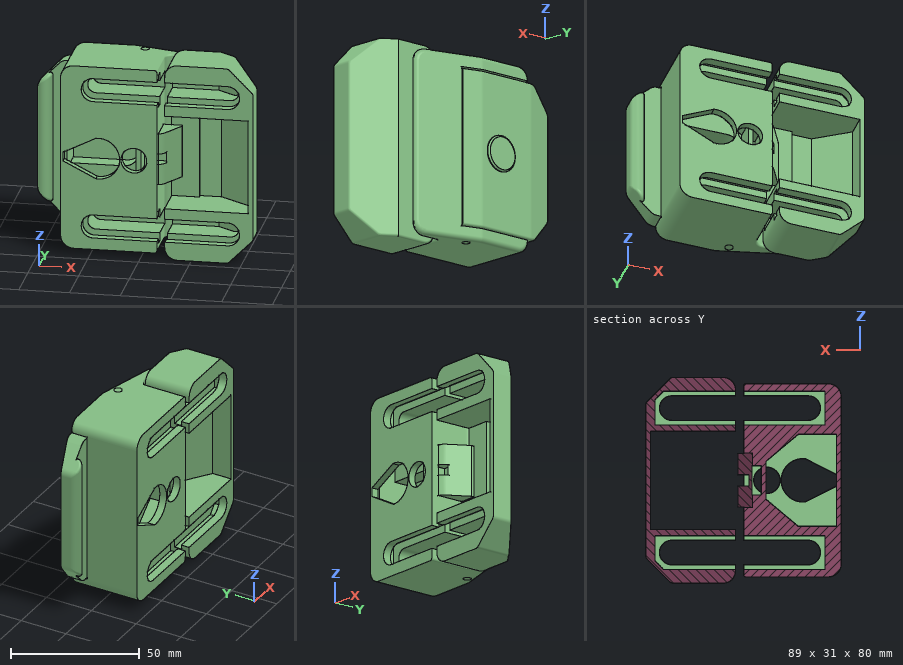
import cadquery as cq
import math


SIDE_WALL = 2.0
FRONT_WALL = 3.0
EDGE_FILLET = 1.0
SLOT_CENTRE_Z = 28.0
SLOT_FIRST_X = 25.9
SLOT_LAST_X = 78.85
SLOT_MOUTH_RADIUS = 4.7
SLOT_UNDERCUT_HALF_WIDTH = 6.5
SLOT_UNDERCUT_CHAMFER = 3.3
SLOT_INNER_RADIUS = 3.3
SLOT_LIP = 3.5
UNDERCUT_END = 6.5
POCKET_FLOOR = 17.8

HOUSING_LEFT = 13.0
HOUSING_RIGHT = 51.0
HOUSING_TOP = 30.0
HOUSING_HALF_WIDTH = 37.6
HOUSING_CORNER = 5.2
HOUSING_TOP_FILLET = 2.0
LIP_END = 66.1
LIP_ROOT_FILLET = 3.0
RAMP_START = 37.8
RAMP_ANGLE = 15.0
BEND_RADIUS = 4.0

KEEPER_LEFT = 54.0
KEEPER_RIGHT = 89.0
KEEPER_TOP = 20.0
KEEPER_HALF_WIDTH = 40.005
KEEPER_CORNER = 5.0
KEEPER_CHAMFER = 10.0
KEEPER_CHAMFER_FILLET = 2.0
KEEPER_SLOPE_START = 73.2
KEEPER_SLOPE_ANGLE = 35.0
KEEPER_SLOT_SLOPE_START = 72.4
KEEPER_POCKET_SLOPE_START = 73.4
KEEPER_POCKET_END = 87.0
KEEPER_POCKET_HALF_WIDTH = 19.05
STRIKE_LEDGE_END = 64.9
STRIKE_LEDGE_DEPTH = 16.0

HANDLE_BOTTOM = 22.3
HANDLE_HALF_WIDTH = 31.7
HANDLE_CHAMFER = 9.9
HANDLE_CORNER = 4.0
HANDLE_BEND_X = 12.0
HANDLE_END = 46.3
GROOVE_END = 46.7
GROOVE_HALF_WIDTH = 32.1
BEAD_RADIUS = 3.0

PIN_X = 42.0
PIN_Y = 24.9
PIN_RADIUS = 1.6

BUTTON_X = 28.1
BUTTON_HEIGHT = 1.0
BUTTON_RADIUS = 7.3
BUTTON_CHAMFER = 0.7

TEARDROP_X = 27.95
TEARDROP_RADIUS = 8.4
TEARDROP_SHOULDER_X = 27.0
TEARDROP_TIP_X = 14.1
TEARDROP_TIP_HALF_WIDTH = 1.8
PORT_X = 41.9
PORT_RADIUS = 5.1
CAVITY_FLOOR = 10.7
CAVITY_RIGHT = 42.2
CAVITY_RIGHT_HALF_WIDTH = 7.4
CAVITY_HALF_WIDTH = 17.8
CAVITY_FLARE_ANGLE = 40.0
CHANNEL_HALF_WIDTH = 6.1
BOLT_CHAMBER_HALF_WIDTH = 5.6

BOLT_LEFT = 47.6
BOLT_TIP = 58.4
BOLT_TOP = 15.0
BOLT_HALF_WIDTH = 10.4
BOLT_BOTTOM = 3.0
BOLT_NOSE_RADIUS = 4.45
BOLT_NOSE_X = 49.6
BOLT_FACE_ANGLE = 60.0
BOLT_NOTCH_START = 48.95
BOLT_NOTCH_END = 53.8
BOLT_NOTCH_HALF_WIDTH = 2.1
BOLT_NOTCH_DEPTH = 8.0


def bar(profile, half_width):
    """Sweep an XY profile along Z, symmetric about the middle."""
    return cq.Workplane("XY").polyline(profile).close().extrude(half_width, both=True)


def block(x0, x1, y0, y1, half_width):
    """Rectangular block, symmetric about the middle."""
    return bar([(x0, y0), (x1, y0), (x1, y1), (x0, y1)], half_width)


def upright(y):
    """Workplane at height y in which local x is X, local y is Z and -extrude goes toward +Y."""
    return cq.Workplane("XZ", origin=(0, y, 0))


def ramp_drop(start, x, angle):
    """Height lost at x on a slope that begins at start."""
    return (x - start) * math.tan(math.radians(angle))


def near(x, y, z=0):
    """Selector of the face or edge whose centre is nearest to a point."""
    return cq.selectors.NearestToPointSelector((x, y, z))


def slot_level(radius, y0, y1):
    """One depth step of a mounting slot, cut on both sides of the middle."""
    length = SLOT_LAST_X - SLOT_FIRST_X + 2 * radius
    middle = (SLOT_FIRST_X + SLOT_LAST_X) / 2
    places = [(middle, SLOT_CENTRE_Z), (middle, -SLOT_CENTRE_Z)]
    return upright(y0).pushPoints(places).slot2D(length, 2 * radius).extrude(y0 - y1)


def slot_undercut():
    """Wide middle step of the mounting slots: square ends, with the outer keeper corner cut off."""
    first_x = SLOT_FIRST_X - SLOT_UNDERCUT_HALF_WIDTH
    last_x = SLOT_LAST_X + SLOT_UNDERCUT_HALF_WIDTH
    inner_z = SLOT_CENTRE_Z - SLOT_UNDERCUT_HALF_WIDTH
    outer_z = SLOT_CENTRE_Z + SLOT_UNDERCUT_HALF_WIDTH
    slot = (
        upright(SLOT_LIP)
        .polyline(
            [
                (first_x, inner_z),
                (last_x, inner_z),
                (last_x, outer_z - SLOT_UNDERCUT_CHAMFER),
                (last_x - SLOT_UNDERCUT_CHAMFER, outer_z),
                (first_x, outer_z),
            ]
        )
        .close()
        .extrude(SLOT_LIP - UNDERCUT_END)
    )
    return slot.union(slot.mirror("XY"))


def mounting_slots():
    """Undercut slots that run through the housing and the keeper, with a sloped end in the keeper."""
    slope_end_y = POCKET_FLOOR - ramp_drop(KEEPER_SLOT_SLOPE_START, KEEPER_RIGHT, KEEPER_SLOPE_ANGLE)
    limit = bar(
        [
            (0, 0),
            (KEEPER_RIGHT, 0),
            (KEEPER_RIGHT, slope_end_y),
            (KEEPER_SLOT_SLOPE_START, POCKET_FLOOR),
            (0, POCKET_FLOOR),
        ],
        KEEPER_HALF_WIDTH,
    )
    inner = slot_level(SLOT_INNER_RADIUS, UNDERCUT_END, POCKET_FLOOR).intersect(limit)
    return slot_level(SLOT_MOUTH_RADIUS, 0, SLOT_LIP).union(slot_undercut()).union(inner)


def bolt_blank():
    """Bolt with a rounded nose that runs into a steep strike face."""
    face_angle = math.radians(BOLT_FACE_ANGLE)
    nose_y = BOLT_BOTTOM + BOLT_NOSE_RADIUS

    def on_nose(angle):
        return (
            BOLT_NOSE_X + BOLT_NOSE_RADIUS * math.sin(angle),
            nose_y - BOLT_NOSE_RADIUS * math.cos(angle),
        )

    face_start = on_nose(face_angle)
    face_end_y = face_start[1] + ramp_drop(face_start[0], BOLT_TIP, BOLT_FACE_ANGLE)
    return (
        cq.Workplane("XY")
        .moveTo(BOLT_LEFT, BOLT_BOTTOM)
        .lineTo(BOLT_NOSE_X, BOLT_BOTTOM)
        .threePointArc(on_nose(face_angle / 2), face_start)
        .lineTo(BOLT_TIP, face_end_y)
        .lineTo(BOLT_TIP, BOLT_TOP)
        .lineTo(BOLT_LEFT, BOLT_TOP)
        .close()
        .extrude(BOLT_HALF_WIDTH, both=True)
    )


def pin_rod():
    """Hinge pin, flush with both sides of the housing."""
    start = cq.Workplane("XY", origin=(PIN_X, PIN_Y, -HOUSING_HALF_WIDTH))
    return start.circle(PIN_RADIUS).extrude(2 * HOUSING_HALF_WIDTH)


def housing_shell():
    """Outside of the housing, with the lip that reaches over the keeper."""
    lip_top = HOUSING_TOP - ramp_drop(RAMP_START, LIP_END, RAMP_ANGLE)
    shell = bar(
        [
            (HOUSING_LEFT, 0),
            (HOUSING_RIGHT, 0),
            (HOUSING_RIGHT, KEEPER_TOP),
            (LIP_END, KEEPER_TOP),
            (LIP_END, lip_top),
            (RAMP_START, HOUSING_TOP),
            (HOUSING_LEFT, HOUSING_TOP),
        ],
        HOUSING_HALF_WIDTH,
    )
    shell = shell.edges("|Y and (<X or >X)").fillet(HOUSING_CORNER)
    shell = shell.edges("|Z").edges(near(HOUSING_RIGHT, KEEPER_TOP)).fillet(LIP_ROOT_FILLET)
    shell = shell.edges("|Z").edges(near(RAMP_START, HOUSING_TOP)).fillet(BEND_RADIUS)
    shell = shell.faces(">Y").edges("|X").fillet(HOUSING_TOP_FILLET)
    return shell.edges("|Z").edges(near(LIP_END, KEEPER_TOP)).fillet(EDGE_FILLET)


def teardrop_opening():
    """Teardrop through the front wall: a round end with two straight sides to a blunt tip."""
    shoulder_z = math.sqrt(TEARDROP_RADIUS**2 - (TEARDROP_X - TEARDROP_SHOULDER_X) ** 2)
    return (
        upright(0)
        .moveTo(TEARDROP_TIP_X, -TEARDROP_TIP_HALF_WIDTH)
        .lineTo(TEARDROP_SHOULDER_X, -shoulder_z)
        .threePointArc((TEARDROP_X + TEARDROP_RADIUS, 0), (TEARDROP_SHOULDER_X, shoulder_z))
        .lineTo(TEARDROP_TIP_X, TEARDROP_TIP_HALF_WIDTH)
        .close()
        .extrude(-FRONT_WALL)
    )


def housing_cavities():
    """Flared chamber, round-ended channel in its floor, and small chamber behind the bolt."""
    left = HOUSING_LEFT + SIDE_WALL
    flare = (CAVITY_HALF_WIDTH - CAVITY_RIGHT_HALF_WIDTH) / math.tan(math.radians(CAVITY_FLARE_ANGLE))
    chamber = (
        upright(FRONT_WALL)
        .polyline(
            [
                (left, -CAVITY_HALF_WIDTH),
                (CAVITY_RIGHT - flare, -CAVITY_HALF_WIDTH),
                (CAVITY_RIGHT, -CAVITY_RIGHT_HALF_WIDTH),
                (CAVITY_RIGHT, CAVITY_RIGHT_HALF_WIDTH),
                (CAVITY_RIGHT - flare, CAVITY_HALF_WIDTH),
                (left, CAVITY_HALF_WIDTH),
            ]
        )
        .close()
        .extrude(FRONT_WALL - CAVITY_FLOOR)
    )
    channel = (
        upright(CAVITY_FLOOR)
        .moveTo(left, -CHANNEL_HALF_WIDTH)
        .lineTo(CAVITY_RIGHT - CHANNEL_HALF_WIDTH, -CHANNEL_HALF_WIDTH)
        .threePointArc((CAVITY_RIGHT, 0), (CAVITY_RIGHT - CHANNEL_HALF_WIDTH, CHANNEL_HALF_WIDTH))
        .lineTo(left, CHANNEL_HALF_WIDTH)
        .close()
        .extrude(CAVITY_FLOOR - POCKET_FLOOR)
    )
    rib_right = CAVITY_RIGHT + SIDE_WALL
    bolt_chamber = block(rib_right, BOLT_LEFT, FRONT_WALL, CAVITY_FLOOR, BOLT_CHAMBER_HALF_WIDTH)
    return chamber.union(channel).union(bolt_chamber)


def build_housing():
    groove = block(HOUSING_LEFT, GROOVE_END, HANDLE_BOTTOM, HOUSING_TOP, GROOVE_HALF_WIDTH)
    port = upright(0).center(PORT_X, 0).circle(PORT_RADIUS).extrude(-FRONT_WALL)
    housing = housing_shell().cut(groove).cut(mounting_slots())
    housing = housing.cut(teardrop_opening()).cut(port).cut(housing_cavities())
    return housing.cut(bolt_blank()).cut(pin_rod())


def keeper_block():
    """Outside of the keeper: chamfered far corners and a sloped far end."""
    keeper = block(KEEPER_LEFT, KEEPER_RIGHT, 0, KEEPER_TOP, KEEPER_HALF_WIDTH)
    keeper = keeper.edges("|Y and <X").fillet(KEEPER_CORNER)
    keeper = keeper.edges("|Y and >X").chamfer(KEEPER_CHAMFER)
    keeper = keeper.edges("|Y").edges(">>X or >>X[-2]").fillet(KEEPER_CHAMFER_FILLET)
    slope_end_y = KEEPER_TOP - ramp_drop(KEEPER_SLOPE_START, KEEPER_RIGHT, KEEPER_SLOPE_ANGLE)
    over_slope = bar(
        [(KEEPER_SLOPE_START, KEEPER_TOP), (KEEPER_RIGHT, KEEPER_TOP), (KEEPER_RIGHT, slope_end_y)],
        KEEPER_HALF_WIDTH,
    )
    keeper = keeper.cut(over_slope)
    slope = keeper.faces(near((KEEPER_SLOPE_START + KEEPER_RIGHT) / 2, (KEEPER_TOP + slope_end_y) / 2))
    bend = keeper.edges("|Z").edges(near(KEEPER_SLOPE_START, KEEPER_TOP)).val()
    rim = keeper.faces(">Y").add(slope).edges()
    edges = [edge for edge in rim.vals() if not edge.isSame(bend)]
    return keeper.newObject(edges).fillet(EDGE_FILLET)


def keeper_pocket():
    """Pocket for the bolt, with a shallower strike ledge at its entrance."""
    end_drop = ramp_drop(KEEPER_POCKET_SLOPE_START, KEEPER_POCKET_END, KEEPER_SLOPE_ANGLE)
    return bar(
        [
            (KEEPER_LEFT, 0),
            (KEEPER_POCKET_END, 0),
            (KEEPER_POCKET_END, POCKET_FLOOR - end_drop),
            (KEEPER_POCKET_SLOPE_START, POCKET_FLOOR),
            (STRIKE_LEDGE_END, POCKET_FLOOR),
            (STRIKE_LEDGE_END, STRIKE_LEDGE_DEPTH),
            (KEEPER_LEFT, STRIKE_LEDGE_DEPTH),
        ],
        KEEPER_POCKET_HALF_WIDTH,
    )


def build_keeper():
    return keeper_block().cut(keeper_pocket()).cut(mounting_slots())


def handle_plan():
    """Outline of the handle, with its two outer corners cut off at 45 degrees and rounded."""
    plan = block(0, HANDLE_END, 0, HOUSING_TOP, HANDLE_HALF_WIDTH)
    plan = plan.edges("|Y and <X").chamfer(HANDLE_CHAMFER)
    return plan.edges("|Y").edges("<<X or <<X[-2]").fillet(HANDLE_CORNER)


def handle_plate():
    """Lever plate that bends down outside the housing and follows the ramp at its inner end."""
    bend_drop = ramp_drop(0, HANDLE_BEND_X, RAMP_ANGLE)
    plate = bar(
        [
            (0, HANDLE_BOTTOM),
            (HANDLE_END, HANDLE_BOTTOM),
            (HANDLE_END, HOUSING_TOP - ramp_drop(RAMP_START, HANDLE_END, RAMP_ANGLE)),
            (RAMP_START, HOUSING_TOP),
            (HANDLE_BEND_X, HOUSING_TOP),
            (0, HOUSING_TOP - bend_drop),
        ],
        HANDLE_HALF_WIDTH,
    )
    plate = plate.intersect(handle_plan())
    for bend_x in (HANDLE_BEND_X, RAMP_START):
        plate = plate.edges("|Z").edges(near(bend_x, HOUSING_TOP)).fillet(BEND_RADIUS)
    return plate.faces(">Y").edges("|X").fillet(EDGE_FILLET)


def handle_bead():
    """Half-round grip bead under the outer edge of the handle, with rounded ends."""
    bead_bottom = HANDLE_BOTTOM - BEAD_RADIUS
    bead = (
        cq.Workplane("XY", origin=(0, 0, -HANDLE_HALF_WIDTH))
        .moveTo(0, HANDLE_BOTTOM)
        .threePointArc((BEAD_RADIUS, bead_bottom), (2 * BEAD_RADIUS, HANDLE_BOTTOM))
        .close()
        .extrude(2 * HANDLE_HALF_WIDTH)
        .intersect(handle_plan())
    )
    end_z = HANDLE_HALF_WIDTH - HANDLE_CHAMFER + BEAD_RADIUS
    for side in (1, -1):
        bead = bead.edges(near(BEAD_RADIUS, bead_bottom, side * end_z)).fillet(EDGE_FILLET)
    return bead


def build_handle():
    return handle_plate().union(handle_bead()).cut(pin_rod())


def build_button():
    return (
        upright(HOUSING_TOP)
        .center(BUTTON_X, 0)
        .circle(BUTTON_RADIUS)
        .extrude(-BUTTON_HEIGHT)
        .faces(">Y")
        .chamfer(BUTTON_CHAMFER)
    )


def build_bolt():
    notch = block(BOLT_NOTCH_START, BOLT_NOTCH_END, 0, BOLT_NOTCH_DEPTH, BOLT_NOTCH_HALF_WIDTH)
    return bolt_blank().cut(notch)


housing = build_housing()
keeper = build_keeper()
handle = build_handle()
hinge_pin = pin_rod()
button = build_button()
bolt = build_bolt()

result = cq.Compound.makeCompound(
    [housing.val(), keeper.val(), handle.val(), hinge_pin.val(), button.val(), bolt.val()]
)